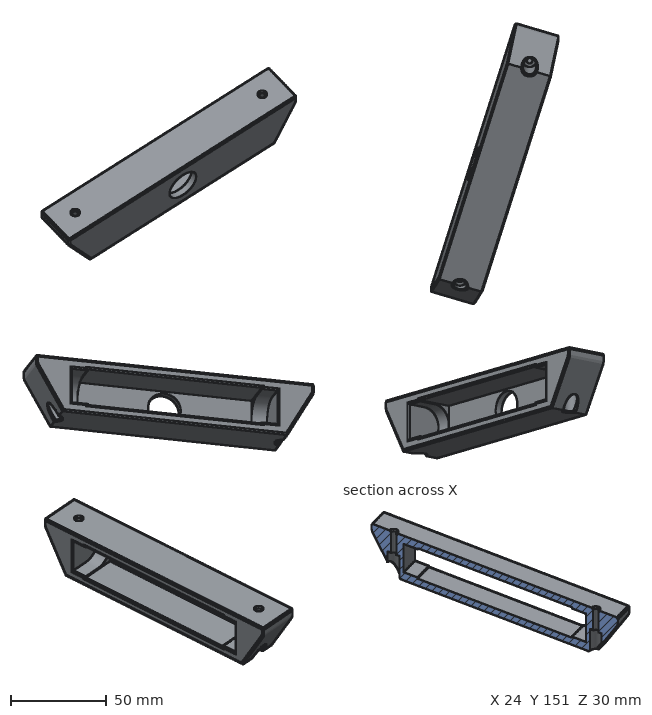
import cadquery as cq
import math

width = 24.0
length = 151.0
height = 30.0
end_face_height = 5.0
end_angle = 60.0
corner_bevel = 0.8

bevel_face_width = 1.0
bevel_depth = 0.6
bevel_angle = math.degrees(math.atan2(bevel_face_width, bevel_depth))

pocket_length = 94.5
pocket_height = 20.0
pocket_depth = 20.0
end_pocket_span = 111.5
end_pocket_height = 18.7

back_hole_diameter = 17.7

screw_spacing = 123.8
screw_diameter = 3.0
screw_chamfer = 0.9
head_diameter = 7.0
head_depth = 15.1
head_chamfer = 0.9

mid_z = height / 2
outer_x = -width / 2


def make_body():
    top_y = length / 2
    slope_z = height - end_face_height
    angle = math.radians(end_angle)
    bottom_y = top_y - slope_z / math.tan(angle)
    right_side = [
        (bottom_y, 0),
        (top_y - corner_bevel * math.cos(angle), slope_z - corner_bevel * math.sin(angle)),
        (top_y, slope_z + corner_bevel),
        (top_y, height - bevel_face_width),
        (top_y - bevel_depth, height),
    ]
    left_side = [(-y, z) for y, z in reversed(right_side)]
    core_width = width - 2 * bevel_depth
    core = (
        cq.Workplane("YZ", origin=(-core_width / 2, 0, 0))
        .polyline(right_side + left_side).close().extrude(core_width)
    )
    bevel_layer = (
        cq.Workplane("YZ", origin=(core_width / 2, 0, 0))
        .polyline(right_side + left_side).close().extrude(bevel_depth, taper=bevel_angle)
    )
    return core.union(bevel_layer).union(bevel_layer.mirror("YZ"))


def centred_block(depth, span, tall):
    return cq.Workplane("YZ", origin=(outer_x, 0, mid_z)).rect(span, tall).extrude(depth)


def mouth_flare(span, tall):
    """Tapered cutter that bevels a rectangular pocket mouth."""
    flare = 2 * bevel_face_width
    outer = cq.Workplane("YZ", origin=(outer_x, 0, mid_z)).rect(span + flare, tall + flare)
    return outer.extrude(bevel_depth, taper=bevel_angle)


def make_pocket():
    round_radius = end_pocket_height / 2
    straight_depth = pocket_depth - round_radius
    main = centred_block(pocket_depth, pocket_length, pocket_height)
    ends = centred_block(straight_depth, end_pocket_span, end_pocket_height)
    round_bottom = (
        cq.Workplane("XZ", origin=(outer_x + straight_depth, end_pocket_span / 2, mid_z))
        .circle(round_radius)
        .extrude(end_pocket_span)
    )
    return (
        main.union(ends).union(round_bottom)
        .union(mouth_flare(pocket_length, pocket_height))
        .union(mouth_flare(end_pocket_span, end_pocket_height))
    )


def make_back_hole():
    return cq.Workplane("YZ", origin=(0, 0, mid_z)).circle(back_hole_diameter / 2).extrude(width)


def make_screw_hole(y):
    screw_radius = screw_diameter / 2
    head_radius = head_diameter / 2
    profile = [
        (0, 0), (head_radius, 0), (head_radius, head_depth), (screw_radius, head_depth),
        (screw_radius, height - screw_chamfer), (screw_radius + screw_chamfer, height), (0, height),
    ]
    return cq.Workplane("XZ", origin=(0, y, 0)).polyline(profile).close().revolve(360, (0, 0), (0, 1))


def head_rim_edges(part):
    """Edges where the screw head recesses break out through the bottom and sloped ends."""
    rim = cq.selectors.BoxSelector(
        (-head_diameter, -length, -1.5), (head_diameter, length, head_depth - 1.5), boundingbox=True
    )
    return part.edges(rim).edges("not |Y")


result = make_body().cut(make_pocket()).cut(make_back_hole())
for side in (-1, 1):
    result = result.cut(make_screw_hole(side * screw_spacing / 2))
result = head_rim_edges(result).chamfer(head_chamfer)